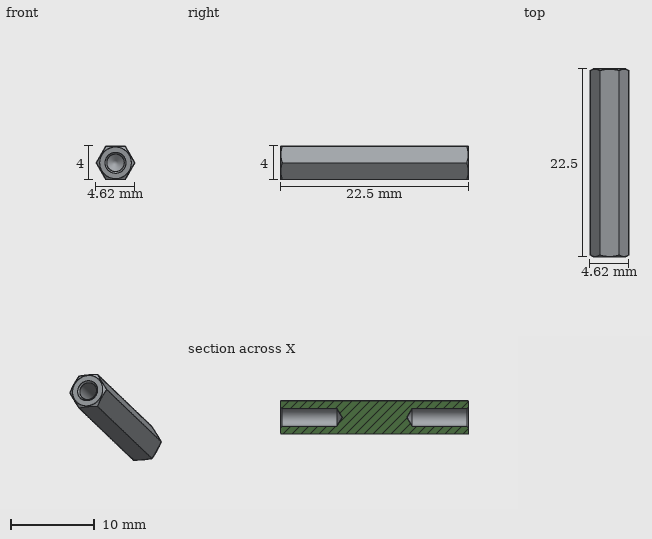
import cadquery as cq
import math

length = 22.5
across_flats = 4.0
across_corners = across_flats / math.cos(math.radians(30))

end_face_diameter = 3.78
chamfer_angle = 30.0

hole_diameter = 2.1
mouth_diameter = 2.5
hole_depth = 6.75
drill_point_angle = 118.0

half_length = length / 2
hole_radius = hole_diameter / 2
mouth_radius = mouth_diameter / 2


def revolve_about_y(points):
    """Revolve an outline of (radius, y) points about the Y axis."""
    return cq.Workplane("XY").polyline(points).close().revolve(360, (0, 0, 0), (0, 1, 0))


def hexagonal_bar():
    return cq.Workplane("XZ").polygon(6, across_corners).extrude(half_length, both=True)


def chamfer_envelope():
    """Round body whose conical ends trim the corners of the bar."""
    corner_radius = across_corners / 2
    face_radius = end_face_diameter / 2
    chamfer_length = (corner_radius - face_radius) * math.tan(math.radians(chamfer_angle))
    shoulder = half_length - chamfer_length
    return revolve_about_y([
        (0, -half_length),
        (face_radius, -half_length),
        (corner_radius, -shoulder),
        (corner_radius, shoulder),
        (face_radius, half_length),
        (0, half_length),
    ])


def blind_hole(end):
    """Hole cutter for one end: end is -1 for the -Y end, +1 for the +Y end."""
    countersink_depth = mouth_radius - hole_radius
    tip_length = hole_radius / math.tan(math.radians(drill_point_angle / 2))
    return revolve_about_y([
        (0, end * half_length),
        (mouth_radius, end * half_length),
        (hole_radius, end * (half_length - countersink_depth)),
        (hole_radius, end * (half_length - hole_depth)),
        (0, end * (half_length - hole_depth - tip_length)),
    ])


result = hexagonal_bar().intersect(chamfer_envelope())
for end in (-1, 1):
    result = result.cut(blind_hole(end))